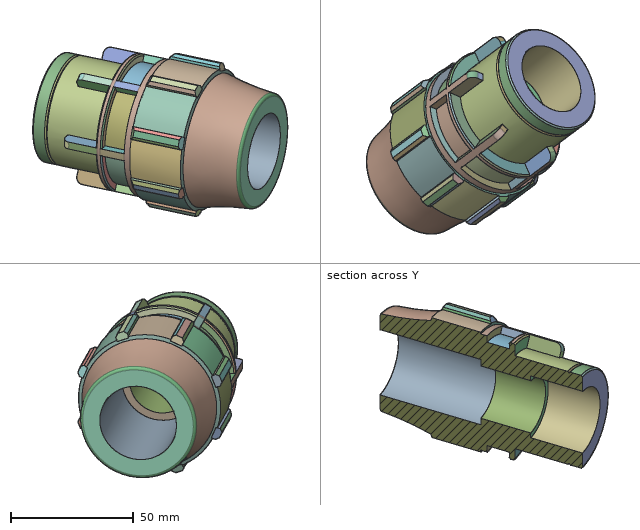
import cadquery as cq
import math

length = 94.0

spigot_radius = 46.08 / 2
edge_chamfer = 0.64
groove_centre = 6.25
groove_depth = 0.6

flange_radius = 57.6 / 2
core_radius = 25.6
ring_start = 31.3
ring_width = 2.75
flange_start = 44.2

body_rib_count = 6
body_rib_start = 16.15
body_rib_width = 3.2
body_rib_end_radius = 3.2
body_rib_root_radius = 22.0

nut_start = 47.15
nut_radius = 29.7
nut_end = 70.5
nose_start_radius = 28.15
nose_mid_x = 82.0
nose_mid_radius = 25.55
nose_end_radius = 24.25
nose_rounding = 1.2
shoulder_slope = 0.34

grip_count = 8
grip_radius = 32.0
grip_corner_radius = 30.7
grip_top_half_width = 1.43
grip_half_angle = 5.0
grip_bevel_length = 1.65
grip_bevel_height = 1.9
grip_root_radius = 29.0

entry_bore_radius = 30.29 / 2
entry_bore_depth = 24.0
through_bore_radius = 25.6 / 2
pipe_socket_radius = 32.0 / 2
pipe_socket_start = nut_start


def shoulder_x(radius):
    """Axial position of the nut's +X shoulder at the given radius."""
    return nut_end - shoulder_slope * (radius - nose_start_radius)


def revolve_about_x(profile):
    """Turn a closed XY profile, with Y as radius, about the X axis."""
    return profile.close().revolve(360, (0, 0, 0), (1, 0, 0))


def cylinder(start, end, radius):
    return cq.Workplane("YZ", origin=(start, 0, 0)).circle(radius).extrude(end - start)


def around_x(shape, count, first_angle):
    """Union of copies of a shape evenly spaced about the X axis."""
    copies = cq.Workplane("XY")
    for index in range(count):
        angle = first_angle + index * 360 / count
        copies = copies.add(shape.rotate((0, 0, 0), (1, 0, 0), angle))
    return copies.combine()


def make_spigot():
    profile = (
        cq.Workplane("XY")
        .moveTo(0, 0)
        .lineTo(0, spigot_radius - edge_chamfer)
        .lineTo(edge_chamfer, spigot_radius)
        .lineTo(groove_centre - groove_depth, spigot_radius)
        .lineTo(groove_centre, spigot_radius - groove_depth)
        .lineTo(groove_centre + groove_depth, spigot_radius)
        .lineTo(nut_start, spigot_radius)
        .lineTo(nut_start, 0)
    )
    return revolve_about_x(profile)


def make_collar():
    """Chamfered ring, core behind it and the flange against the nut."""
    ring = cylinder(ring_start, ring_start + ring_width, flange_radius).edges().chamfer(edge_chamfer)
    core = cylinder(ring_start + ring_width / 2, flange_start, core_radius)
    flange = cylinder(flange_start, nut_start, flange_radius)
    return core.union(ring).union(flange)


def make_body_ribs():
    rib_length = nut_start - body_rib_start
    rib_height = flange_radius - body_rib_root_radius
    rib = (
        cq.Workplane("XY")
        .box(rib_length, rib_height, body_rib_width, centered=(False, False, True))
        .translate((body_rib_start, body_rib_root_radius, 0))
        .edges("<X and >Y")
        .fillet(body_rib_end_radius)
    )
    envelope = cylinder(body_rib_start, nut_start, flange_radius)
    return around_x(rib.intersect(envelope), body_rib_count, 0)


def make_nut():
    rounding_mid = nose_rounding * math.sqrt(0.5)
    rounding_start = length - nose_rounding
    end_face_radius = nose_end_radius - nose_rounding
    profile = (
        cq.Workplane("XY")
        .moveTo(nut_start, 0)
        .lineTo(nut_start, nut_radius)
        .lineTo(shoulder_x(nut_radius), nut_radius)
        .lineTo(nut_end, nose_start_radius)
        .threePointArc((nose_mid_x, nose_mid_radius), (rounding_start, nose_end_radius))
        .threePointArc(
            (rounding_start + rounding_mid, end_face_radius + rounding_mid),
            (length, end_face_radius),
        )
        .lineTo(length, 0)
    )
    return revolve_about_x(profile)


def make_grip_ribs():
    """Bevelled grip ribs: a prismatic bar trimmed by a side profile."""
    side_slope = math.tan(math.radians(grip_half_angle))
    corner_half_width = grip_corner_radius * side_slope
    root_half_width = grip_root_radius * side_slope
    bar = (
        cq.Workplane("YZ", origin=(nut_start, 0, 0))
        .polyline([
            (grip_root_radius, -root_half_width),
            (grip_corner_radius, -corner_half_width),
            (grip_radius, -grip_top_half_width),
            (grip_radius, grip_top_half_width),
            (grip_corner_radius, corner_half_width),
            (grip_root_radius, root_half_width),
        ])
        .close()
        .extrude(nut_end - nut_start)
    )
    side_profile = (
        cq.Workplane("XY")
        .moveTo(nut_start, grip_root_radius)
        .lineTo(nut_start, grip_radius - grip_bevel_height)
        .lineTo(nut_start + grip_bevel_length, grip_radius)
        .lineTo(shoulder_x(grip_radius), grip_radius)
        .lineTo(shoulder_x(grip_root_radius), grip_root_radius)
        .close()
        .extrude(2 * corner_half_width, both=True)
    )
    return around_x(bar.intersect(side_profile), grip_count, 180 / grip_count)


def make_bore():
    entry = cylinder(0, entry_bore_depth, entry_bore_radius)
    through = cylinder(0, length, through_bore_radius)
    pipe_socket = cylinder(pipe_socket_start, length, pipe_socket_radius)
    return through.union(entry).union(pipe_socket)


outside = make_spigot().union(make_collar()).union(make_body_ribs())
outside = outside.union(make_nut()).union(make_grip_ribs())
result = outside.cut(make_bore())